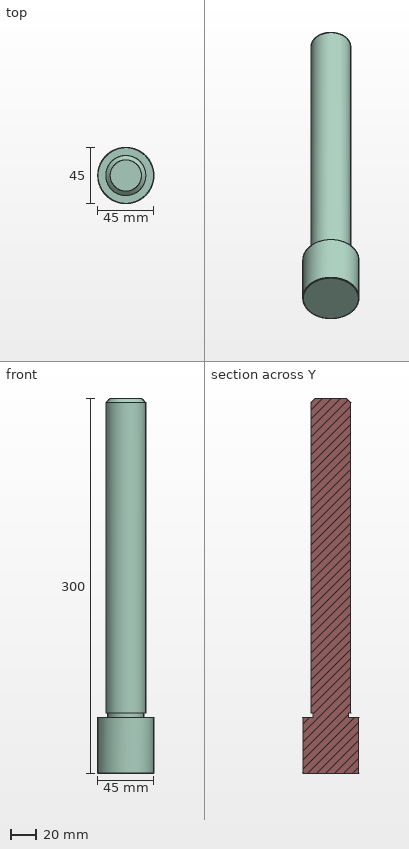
import cadquery as cq

total_length = 300.0

head_diameter = 45.0
head_height = 45.0
head_chamfer = 0.5

shank_diameter = 32.0
tip_chamfer = 3.5
neck_diameter = 29.0
neck_height = 3.5


def make_head():
    """Cylindrical head standing on the XY plane, chamfered at the bottom."""
    head = cq.Workplane("XY").circle(head_diameter / 2).extrude(head_height)
    return head.faces("<Z").chamfer(head_chamfer)


def make_neck():
    """Relief groove core that joins the head to the shank."""
    base = cq.Workplane("XY").workplane(offset=head_height)
    return base.circle(neck_diameter / 2).extrude(neck_height)


def make_shank():
    """Cylindrical shank from the neck to the chamfered tip."""
    shank_start = head_height + neck_height
    base = cq.Workplane("XY").workplane(offset=shank_start)
    shank = base.circle(shank_diameter / 2).extrude(total_length - shank_start)
    return shank.faces(">Z").chamfer(tip_chamfer)


result = make_head().union(make_neck()).union(make_shank())